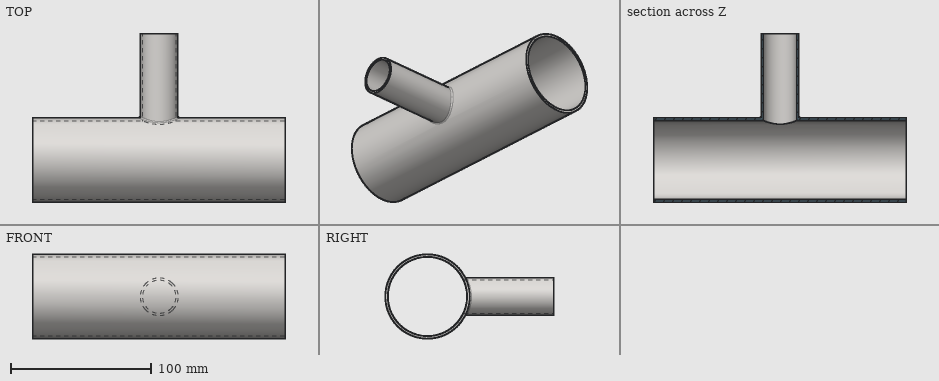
import cadquery as cq

MAIN_LENGTH = 180.0
MAIN_OUTER_DIAMETER = 60.3
MAIN_INNER_DIAMETER = 56.3

BRANCH_REACH = 90.0
BRANCH_OUTER_DIAMETER = 26.9
BRANCH_INNER_DIAMETER = 23.7

JOINT_FILLET_RADIUS = 1.0


def main_cylinder(diameter):
    """Cylinder on the X axis, centred on the origin."""
    return cq.Workplane("YZ").circle(diameter / 2).extrude(MAIN_LENGTH / 2, both=True)


def branch_cylinder(diameter):
    """Cylinder from the main axis out to the open end of the branch."""
    return cq.Workplane("XZ").circle(diameter / 2).extrude(-BRANCH_REACH)


def joint_region():
    """Box around the joint curve, clear of every other edge of the joined cylinders."""
    return cq.selectors.BoxSelector(
        (-BRANCH_OUTER_DIAMETER, 0, -BRANCH_OUTER_DIAMETER),
        (BRANCH_OUTER_DIAMETER, MAIN_OUTER_DIAMETER / 2, BRANCH_OUTER_DIAMETER),
    )


def outer_body():
    """Solid tee with the joint between main and branch filleted."""
    tee = main_cylinder(MAIN_OUTER_DIAMETER).union(branch_cylinder(BRANCH_OUTER_DIAMETER))
    joint_edges = tee.edges(joint_region())
    return joint_edges.fillet(JOINT_FILLET_RADIUS)


result = outer_body().cut(main_cylinder(MAIN_INNER_DIAMETER)).cut(branch_cylinder(BRANCH_INNER_DIAMETER))